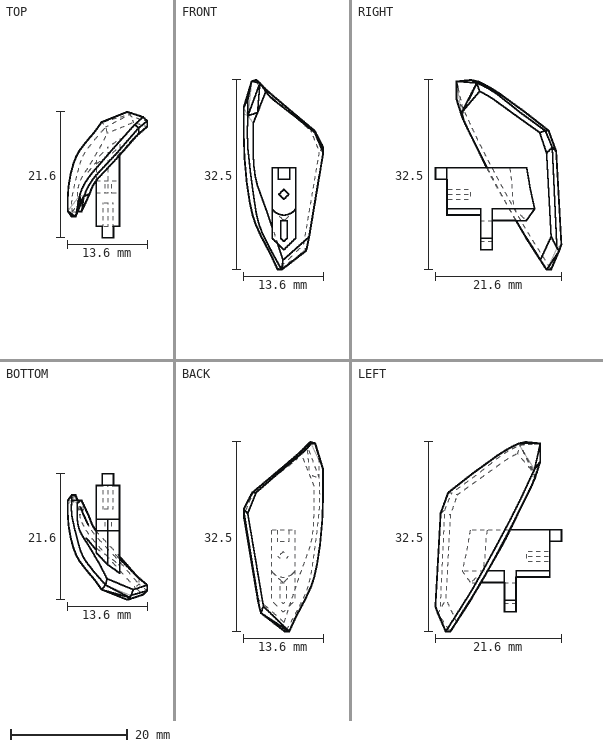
import cadquery as cq


STEM_WIDTH = 4.0
STEM_TOP = 4.55
STEM_SHOULDER = -2.5
ROUND_DROP = 1.05
STEM_REACH = 20.0
STEM_GAP = 0.8

TAB_SIZE = 2.0

LEG_FRONT = 5.75
LEG_THICKNESS = 2.0
LEG_SHOULDER = -7.5
LEG_BACK = LEG_FRONT + LEG_THICKNESS

PIN_HOLE_DIAGONAL = 1.7
PIN_HOLE_DEPTH = 4.0

SLOT_WIDTH = 1.1
SLOT_TOP = STEM_SHOULDER - STEM_WIDTH / 2

BACK_RIM = {
    "left": (-6.86, 3.13, 13.80),
    "tip": (-4.79, 5.38, 19.28),
    "top bow": [(-3.52, 8.02, 17.86), (-1.47, 10.52, 16.14), (1.27, 13.70, 13.80)],
    "shoulder": (4.60, 17.39, 10.89),
    "right": (6.02, 18.69, 7.34),
    "heel": (3.33, 19.58, -8.56),
    "foot": (-1.08, 17.81, -12.86),
    "left bow": [(-2.84, 15.46, -9.20), (-4.94, 12.82, -4.89), (-6.04, 10.27, -0.29), (-6.80, 6.31, 7.14)],
}
MIDDLE_RIM = {
    "left": (-6.16, 2.50, 13.43),
    "tip": (-4.09, 5.09, 19.02),
    "top bow": [(-2.64, 7.93, 17.56), (0.39, 11.25, 14.97), (3.23, 14.48, 12.57)],
    "shoulder": (5.28, 16.83, 10.86),
    "right": (6.74, 18.00, 8.02),
    "heel": (3.96, 18.79, -9.10),
    "foot": (-0.39, 17.03, -12.91),
    "left bow": [(-1.86, 15.36, -10.18), (-4.21, 12.23, -5.28), (-5.28, 8.95, 0.59), (-6.13, 5.38, 7.44)],
}
FRONT_RIM = {
    "left": (-5.24, 3.03, 12.17),
    "tip": (-3.08, 5.58, 17.61),
    "top bow": [(-2.05, 7.73, 16.39), (0.39, 10.37, 14.48), (3.23, 13.55, 12.23)],
    "shoulder": (5.28, 15.85, 10.57),
    "right": (6.74, 17.03, 7.05),
    "heel": (4.35, 17.81, -7.24),
    "foot": (-0.15, 15.95, -11.25),
    "left bow": [(-1.08, 14.09, -8.41), (-3.13, 10.57, -2.35), (-4.79, 7.78, 2.54), (-5.26, 5.38, 7.44)],
}
BACK_CREST = (-4.40, 8.76, 12.55)
FRONT_HOLLOW = (-2.94, 7.40, 11.83)

BACK_TIP_BEND = (-6.90, 2.64, 14.82)
FRONT_TIP_BEND = (-4.50, 2.50, 13.99)
LOBE_CREST = (-4.70, 4.11, 19.57)
LOBE_TOP = (-5.53, 1.61, 19.32)
LOBE_BOTTOM = (-6.16, 1.61, 16.24)
HEEL_LOBE = (3.77, 19.18, -9.69)


def line(start, end):
    return cq.Edge.makeLine(cq.Vector(*start), cq.Vector(*end))


def bowed(points):
    return cq.Edge.makeSpline([cq.Vector(*p) for p in points])


def rim_sides(rim):
    """The five sides of a rim from its tip clockwise to its left corner, all but the tip side."""
    return {
        "top": bowed([rim["tip"], *rim["top bow"], rim["shoulder"]]),
        "shoulder": line(rim["shoulder"], rim["right"]),
        "right": line(rim["right"], rim["heel"]),
        "bottom": line(rim["heel"], rim["foot"]),
        "left": bowed([rim["foot"], *rim["left bow"], rim["left"]]),
    }


def midpoint(start, end):
    return (cq.Vector(*start) + cq.Vector(*end)) / 2


def facet(*corners):
    return cq.Face.makeFromWires(cq.Wire.makePolygon([cq.Vector(*c) for c in corners], close=True))


def edge_strip(outer, inner, names):
    return [cq.Face.makeRuledSurface(outer[name], inner[name]) for name in names]


def tip_lobe():
    """The swollen edge between the back and middle rims at the tip."""
    back_left, back_tip = BACK_RIM["left"], BACK_RIM["tip"]
    left, tip = MIDDLE_RIM["left"], MIDDLE_RIM["tip"]
    return [
        facet(back_tip, LOBE_CREST, tip),
        facet(back_tip, LOBE_TOP, LOBE_CREST),
        facet(LOBE_CREST, LOBE_TOP, tip),
        facet(back_tip, BACK_TIP_BEND, LOBE_TOP),
        facet(BACK_TIP_BEND, LOBE_BOTTOM, LOBE_TOP),
        facet(LOBE_TOP, LOBE_BOTTOM, left),
        facet(LOBE_TOP, left, tip),
        facet(BACK_TIP_BEND, left, LOBE_BOTTOM),
        facet(BACK_TIP_BEND, back_left, left),
    ]


def tip_bevel():
    """The bevel between the middle and front rims at the tip."""
    left, tip = MIDDLE_RIM["left"], MIDDLE_RIM["tip"]
    return [
        facet(tip, left, FRONT_TIP_BEND),
        facet(tip, FRONT_TIP_BEND, FRONT_RIM["tip"]),
        facet(left, FRONT_RIM["left"], FRONT_TIP_BEND),
    ]


def heel_lobe():
    """Four facets between the bottom sides of the back and middle rims, meeting at the lobe."""
    ring = [BACK_RIM["heel"], BACK_RIM["foot"], MIDDLE_RIM["foot"], MIDDLE_RIM["heel"]]
    return [facet(ring[i - 1], ring[i], HEEL_LOBE) for i in range(len(ring))]


def skin(rim, sides, tip_bend, peak):
    """A smooth face inside a rim, through its peak and the middles of its straight runs."""
    tip_edges = [line(rim["left"], tip_bend), line(tip_bend, rim["tip"])]
    _, left_low, left_high, _ = rim["left bow"]
    straight_runs = [
        (peak, rim["left"]),
        (peak, left_high),
        (peak, rim["top bow"][1]),
        (peak, rim["shoulder"]),
        (left_high, rim["shoulder"]),
        (left_low, rim["right"]),
        (left_low, rim["heel"]),
    ]
    guides = [cq.Vector(*peak)] + [midpoint(*run) for run in straight_runs]
    return cq.Face.makeNSidedSurface([*tip_edges, *sides.values()], guides)


def plate_faces():
    """The back skin, and all the faces that close the plate."""
    back, middle, front = (rim_sides(r) for r in (BACK_RIM, MIDDLE_RIM, FRONT_RIM))
    back_skin = skin(BACK_RIM, back, BACK_TIP_BEND, BACK_CREST)
    front_skin = skin(FRONT_RIM, front, FRONT_TIP_BEND, FRONT_HOLLOW)
    outer_edge = edge_strip(back, middle, ["top", "shoulder", "right", "left"])
    bevel = edge_strip(middle, front, list(front))
    faces = [back_skin, front_skin, *outer_edge, *bevel]
    return back_skin, faces + tip_lobe() + tip_bevel() + heel_lobe()


def make_plate(faces):
    shell = cq.Shell.makeShell(faces)
    solid = cq.Solid.makeSolid(shell)
    return solid.fix()


def pointed_bar(width, top, shoulder, front, back):
    """A bar along Y whose underside is a right-angled V below the shoulders."""
    half = width / 2
    outline = [(-half, top), (half, top), (half, shoulder), (0, shoulder - half), (-half, shoulder)]
    return cq.Workplane("XZ", origin=(0, front, 0)).polyline(outline).close().extrude(front - back)


def make_stem():
    half = STEM_WIDTH / 2
    round_stem = (
        cq.Workplane("XZ")
        .moveTo(-half, STEM_SHOULDER)
        .threePointArc((0, STEM_SHOULDER - ROUND_DROP), (half, STEM_SHOULDER))
        .lineTo(half, STEM_TOP)
        .lineTo(-half, STEM_TOP)
        .close()
        .extrude(-LEG_BACK)
    )
    keel_stem = pointed_bar(STEM_WIDTH, STEM_TOP, STEM_SHOULDER, LEG_FRONT, STEM_REACH)
    leg = pointed_bar(STEM_WIDTH, STEM_TOP, LEG_SHOULDER, LEG_FRONT, LEG_BACK)
    tab = cq.Workplane("XY").box(TAB_SIZE, TAB_SIZE, TAB_SIZE).translate(
        (0, -TAB_SIZE / 2, STEM_TOP - TAB_SIZE / 2)
    )
    slot = pointed_bar(SLOT_WIDTH, SLOT_TOP, LEG_SHOULDER, LEG_FRONT, LEG_BACK)
    pin_hole = cq.Workplane("XZ").polygon(4, PIN_HOLE_DIAGONAL).extrude(-PIN_HOLE_DEPTH)
    return round_stem.union(keel_stem).union(leg).union(tab).cut(slot).cut(pin_hole)


back_skin, all_faces = plate_faces()
plate = make_plate(all_faces)
behind_plate = cq.Solid.extrudeLinear(back_skin, cq.Vector(0, STEM_REACH, 0))
stem = make_stem().cut(cq.Workplane(obj=behind_plate).translate((0, -STEM_GAP, 0)))
result = cq.Workplane(obj=plate).union(stem)